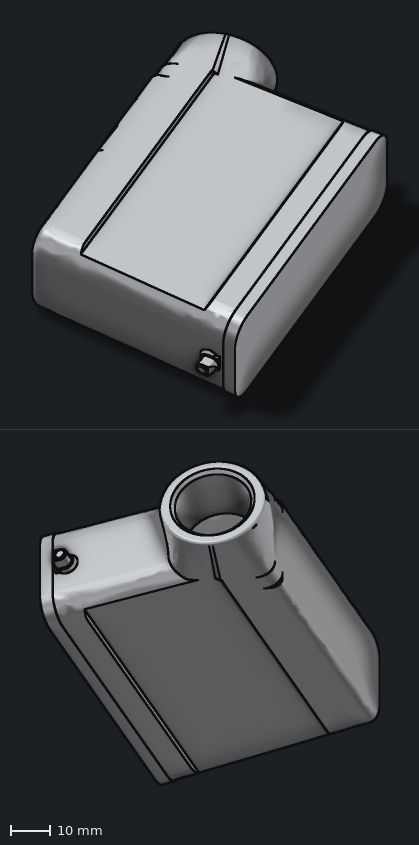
import cadquery as cq
import math

flange_height = 29.4
flange_thickness = 3.5
flange_length = 79.6
flange_corner_radius = 6.4

body_depth = 61.5
body_height = 29.3
body_length_front = 79.2
body_length_back = 76.4
body_corner_radius = 6.7
back_edge_radius = 2.95
body_top = body_height / 2

recess_back_x = -48.2
recess_front_x = -10.4
recess_depth = 1.0
recess_wall_run = 0.6
recess_floor = body_top - recess_depth

port_tilt = 15
mouth_x = -51.6
mouth_y = 47.6
mouth_radius = 13.8
mouth_edge_radius = 0.95
port_length = 14.1
port_front_reach = 13.6
port_front_corner_radius = 7.6
port_back_corner_radius = 4.7
port_step_width = 1.4
shoulder_length = 4.8

mouth_angles = [0, 40, 60, 86, 90, 115, 145, 180]

bore_radius = 9.9
bore_chamfer = 1.0
bore_depth = 17.1

pin_x = -7.4
pin_radius = 3.5 / 2
pin_tip_y = 44.1
pin_tip_face_radius = 2.5 / 2
pin_tip_chamfer_length = 0.3
pin_root_y = 39.0
collar_end_y = 40.6
collar_root_radius = 3.2
collar_end_radius = 2.3
key_front_x = -4.5
key_shoulder_y = 41.7
key_foot_width = 4.3

tilt_sin = math.sin(math.radians(port_tilt))
tilt_cos = math.cos(math.radians(port_tilt))


def port_plane(depth):
    """Plane across the port axis at a depth below the mouth; local y is Z and the normal points out."""
    origin = (mouth_x + depth * tilt_sin, mouth_y - depth * tilt_cos, 0)
    return cq.Plane(origin, xDir=(tilt_cos, tilt_sin, 0), normal=(-tilt_sin, tilt_cos, 0))


def rounded_plate(length, height, corner_radius):
    return cq.Sketch().rect(length, height).vertices().fillet(corner_radius)


def make_flange():
    outline = rounded_plate(flange_length, flange_height, flange_corner_radius)
    return cq.Workplane("YZ").placeSketch(outline).extrude(-flange_thickness)


def make_body():
    back = rounded_plate(body_length_back, body_height, body_corner_radius)
    front = rounded_plate(body_length_front, body_height, body_corner_radius)
    front = front.moved(cq.Location(cq.Vector(0, 0, body_depth - flange_thickness)))
    body = cq.Workplane("YZ", origin=(-body_depth, 0, 0)).placeSketch(back, front).loft()
    return body.faces("<X").edges().fillet(back_edge_radius)


def make_back_strip():
    """Rounded bar along the back wall, as wide as the wall strip behind the recess."""
    width = body_depth + recess_back_x
    bar = cq.Workplane("XY").box(width, flange_length, body_height, centered=(False, True, True))
    bar = bar.edges("|Y and <X").fillet(port_back_corner_radius)
    return bar.translate((-body_depth, 0, 0))


def slab_across_port(depth, thickness):
    """Block wider than the port, rising by thickness from a plane at a depth below the mouth."""
    return cq.Workplane(port_plane(depth)).rect(body_depth, body_depth).extrude(thickness)


def make_corner_cut(depth):
    """The body corner behind the recess, from a tilted plane outward."""
    corner = slab_across_port(depth, body_depth)
    back_half = cq.Workplane("XY").box(body_depth, 2 * flange_length, body_depth)
    return corner.intersect(back_half.translate((recess_back_x - body_depth / 2, 0, 0)))


def make_shoulder(depth):
    return make_back_strip().intersect(slab_across_port(depth, shoulder_length))


def make_recess():
    profile = [
        (recess_back_x, body_top),
        (recess_back_x + recess_wall_run, recess_floor),
        (recess_front_x - recess_wall_run, recess_floor),
        (recess_front_x, body_top),
    ]
    return cq.Workplane("XZ").polyline(profile).close().extrude(flange_length / 2, both=True)


def port_base_outline():
    """Upper half of the port's base, with a step down to the recess floor in front of the axis."""
    back = -(mouth_x + port_length * tilt_sin + body_depth) / tilt_cos
    front_corner = port_front_corner_radius
    back_corner = port_back_corner_radius
    bulge = 1 - math.sqrt(0.5)
    return (
        cq.Workplane(port_plane(port_length))
        .moveTo(port_front_reach, 0)
        .lineTo(port_front_reach, recess_floor - front_corner)
        .threePointArc(
            (port_front_reach - bulge * front_corner, recess_floor - bulge * front_corner),
            (port_front_reach - front_corner, recess_floor),
        )
        .lineTo(port_step_width, recess_floor)
        .lineTo(0, body_top)
        .lineTo(back + back_corner, body_top)
        .threePointArc(
            (back + bulge * back_corner, body_top - bulge * back_corner),
            (back, body_top - back_corner),
        )
        .lineTo(back, 0)
        .close()
        .val()
    )


def mouth_point(angle):
    turn = math.radians(angle)
    return (mouth_radius * math.cos(turn), mouth_radius * math.sin(turn))


def port_mouth_outline():
    """Upper half of the mouth circle, split to pair with the edges of the base outline."""
    outline = cq.Workplane(port_plane(mouth_edge_radius)).moveTo(*mouth_point(mouth_angles[0]))
    for start, end in zip(mouth_angles, mouth_angles[1:]):
        outline = outline.threePointArc(mouth_point((start + end) / 2), mouth_point(end))
    return outline.close().val()


def make_port():
    upper = cq.Workplane(cq.Solid.makeLoft([port_base_outline(), port_mouth_outline()], True))
    lower = upper.mirror("XY")
    rim_inner_radius = mouth_radius - mouth_edge_radius
    rim = (
        cq.Workplane("XY")
        .lineTo(mouth_radius, 0)
        .radiusArc((rim_inner_radius, mouth_edge_radius), -mouth_edge_radius)
        .lineTo(0, mouth_edge_radius)
        .close()
        .revolve(360, (0, 0), (0, 1))
    )
    rim_center = port_plane(mouth_edge_radius).origin
    rim = rim.rotate((0, 0, 0), (0, 0, 1), port_tilt).translate(rim_center)
    return upper.union(lower).union(rim)


def make_bore():
    bore = cq.Workplane(port_plane(0)).circle(bore_radius).extrude(-bore_depth)
    mouth_cone = (
        cq.Workplane(port_plane(bore_chamfer))
        .circle(bore_radius)
        .workplane(offset=bore_chamfer)
        .circle(bore_radius + bore_chamfer)
        .loft()
    )
    return bore.union(mouth_cone)


def make_pin():
    turned_profile = [
        (0, pin_root_y),
        (collar_root_radius, pin_root_y),
        (collar_end_radius, collar_end_y),
        (pin_radius, collar_end_y),
        (pin_radius, pin_tip_y - pin_tip_chamfer_length),
        (pin_tip_face_radius, pin_tip_y),
        (0, pin_tip_y),
    ]
    turned = cq.Workplane("XY").polyline(turned_profile).close().revolve(360, (0, 0), (0, 1))
    turned = turned.translate((pin_x, 0, 0))

    key_side = [
        (pin_x - pin_radius, pin_root_y),
        (key_front_x, pin_root_y),
        (key_front_x, key_shoulder_y),
        (pin_x + pin_radius, pin_tip_y - pin_tip_chamfer_length),
        (pin_x - pin_radius, pin_tip_y - pin_tip_chamfer_length),
    ]
    key_length = key_front_x - pin_x + pin_radius
    key = (
        cq.Workplane("XZ", origin=(key_front_x - key_length / 2, pin_root_y, 0))
        .slot2D(key_length, 2 * pin_radius)
        .extrude(pin_root_y - pin_tip_y)
        .intersect(cq.Workplane("XY").polyline(key_side).close().extrude(pin_radius, both=True))
    )
    foot = (
        cq.Workplane("XY", origin=(pin_x, pin_root_y, 0))
        .box(key_front_x - pin_x, collar_end_y - pin_root_y, key_foot_width, centered=(False, False, True))
    )
    return turned.union(key).union(foot)


shoulder_depth = port_length + shoulder_length
body = make_body().union(make_flange())
body = body.cut(make_corner_cut(shoulder_depth)).union(make_shoulder(shoulder_depth))

recess = make_recess()
body = body.cut(recess).cut(recess.mirror("XY"))
body = body.union(make_port()).cut(make_bore())

pin = make_pin()
result = body.union(pin).union(pin.mirror("XZ"))